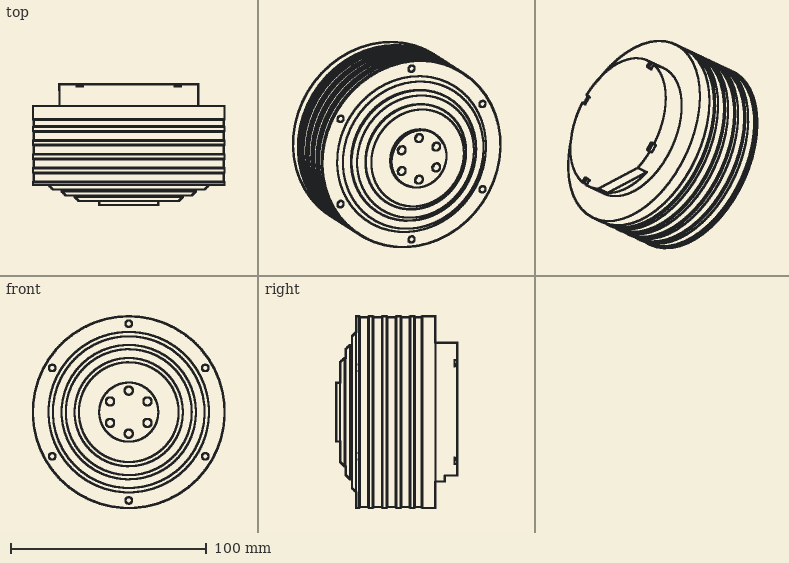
import cadquery as cq
import math


HUB_PROUD = 2.0
INNER_STEP = 2.8
MIDDLE_STEP = 3.1
OUTER_STEP = 2.3
BARREL_LENGTH = 40.4
REAR_LENGTH = 11.2

INNER_STEP_FRONT = HUB_PROUD
MIDDLE_STEP_FRONT = INNER_STEP_FRONT + INNER_STEP
OUTER_STEP_FRONT = MIDDLE_STEP_FRONT + MIDDLE_STEP
BARREL_FRONT = OUTER_STEP_FRONT + OUTER_STEP
BARREL_BACK = BARREL_FRONT + BARREL_LENGTH
REAR_FACE = BARREL_BACK + REAR_LENGTH

BARREL_RADIUS = 49.0
REAR_RADIUS = 35.5
HUB_RADIUS = 15.1
INNER_STEP_RADIUS = 27.6
STEP_WIDTH = 6.7
STEP_CHAMFER = 2.2

GROOVE_DEPTH = 0.5
GROOVE_WIDTH = 5.1
FRONT_RIM = 1.4
RIB_WIDTH = 2.0
FULL_GROOVES = 4
LAST_GROOVE_WIDTH = 4.1

FLAT_LENGTH = 6.4
FLAT_DISTANCE = 32.3
NOTCH_COUNT = 4
NOTCH_WIDTH = 4.3
NOTCH_LENGTH = 2.9
NOTCH_DEPTH = 1.4

HOLES_PER_RING = 6
DRILL_TIP_ANGLE = 118
BARREL_HOLE_DIAMETER = 3.3
BARREL_HOLE_RING_RADIUS = 45.1
BARREL_HOLE_DEPTH = 7.8
HUB_HOLE_DIAMETER = 4.2
HUB_HOLE_RING_RADIUS = 11.0
HUB_HOLE_DEPTH = 7.8
HUB_LENGTH = 11.8


def disc(radius, front, back):
    """Cylinder on the axis between two Y positions."""
    return cq.Workplane("XZ", origin=(0, front, 0)).circle(radius).extrude(front - back)


def cover_step(radius, front, back):
    """One round step of the cover, with its front edge chamfered."""
    return disc(radius, front, back).faces("<Y").chamfer(STEP_CHAMFER)


def outer_cover_step(radius):
    """The largest step is all 45 degree chamfer, so it is a cone frustum."""
    profile = [
        (OUTER_STEP_FRONT, 0),
        (OUTER_STEP_FRONT, radius - OUTER_STEP),
        (BARREL_FRONT, radius),
        (BARREL_FRONT, 0),
    ]
    return cq.Workplane("YZ").polyline(profile).close().revolve(360, (0, 0), (1, 0))


def groove_outline(start, width):
    """Corners of one groove from front to back, as (Y, radius)."""
    floor_radius = BARREL_RADIUS - GROOVE_DEPTH
    return [
        (start, BARREL_RADIUS),
        (start + GROOVE_DEPTH, floor_radius),
        (start + width - GROOVE_DEPTH, floor_radius),
        (start + width, BARREL_RADIUS),
    ]


def barrel():
    """Grooved barrel, revolved about the axis."""
    profile = [(BARREL_FRONT, 0), (BARREL_FRONT, BARREL_RADIUS)]
    groove_start = BARREL_FRONT + FRONT_RIM
    for _ in range(FULL_GROOVES):
        profile += groove_outline(groove_start, GROOVE_WIDTH)
        groove_start += GROOVE_WIDTH + RIB_WIDTH
    profile += groove_outline(groove_start, LAST_GROOVE_WIDTH)
    profile += [(BARREL_BACK, BARREL_RADIUS), (BARREL_BACK, 0)]
    return cq.Workplane("YZ").polyline(profile).close().revolve(360, (0, 0), (1, 0))


def rear_boss():
    """Rear boss with a flat underneath and notches on its diagonals."""
    boss = disc(REAR_RADIUS, BARREL_BACK, REAR_FACE)
    below_flat = cq.Workplane("XY").box(
        2 * REAR_RADIUS, FLAT_LENGTH, REAR_RADIUS, centered=(True, False, False)
    ).translate((0, REAR_FACE - FLAT_LENGTH, -FLAT_DISTANCE - REAR_RADIUS))
    boss = boss.cut(below_flat)
    notch = cq.Workplane("XY").box(
        2 * NOTCH_LENGTH, NOTCH_DEPTH, NOTCH_WIDTH, centered=(False, False, True)
    ).translate((REAR_RADIUS - NOTCH_LENGTH, REAR_FACE - NOTCH_DEPTH, 0))
    pitch = 360 / NOTCH_COUNT
    for index in range(NOTCH_COUNT):
        boss = boss.cut(notch.rotate((0, 0, 0), (0, 1, 0), (index + 0.5) * pitch))
    return boss


def drilled_hole(diameter, depth, ring_radius, face):
    """Cutter for a blind hole with a drill-point bottom, straight above the axis."""
    radius = diameter / 2
    tip = radius / math.tan(math.radians(DRILL_TIP_ANGLE / 2))
    profile = [(0, 0), (0, radius), (depth, radius), (depth + tip, 0)]
    cutter = cq.Workplane("YZ").polyline(profile).close().revolve(360, (0, 0), (1, 0))
    return cutter.translate((0, face, ring_radius))


def cut_hole_ring(body, hole):
    """Cut evenly spaced copies of a hole around the axis."""
    for index in range(HOLES_PER_RING):
        body = body.cut(hole.rotate((0, 0, 0), (0, 1, 0), index * 360 / HOLES_PER_RING))
    return body


def make_output_hub():
    hub = disc(HUB_RADIUS, 0, HUB_LENGTH)
    hole = drilled_hole(HUB_HOLE_DIAMETER, HUB_HOLE_DEPTH, HUB_HOLE_RING_RADIUS, 0)
    return cut_hole_ring(hub, hole)


def make_housing():
    middle_radius = INNER_STEP_RADIUS + STEP_WIDTH
    outer_radius = middle_radius + STEP_WIDTH
    housing = (
        barrel()
        .union(outer_cover_step(outer_radius))
        .union(cover_step(middle_radius, MIDDLE_STEP_FRONT, OUTER_STEP_FRONT))
        .union(cover_step(INNER_STEP_RADIUS, INNER_STEP_FRONT, MIDDLE_STEP_FRONT))
        .union(rear_boss())
    )
    hole = drilled_hole(BARREL_HOLE_DIAMETER, BARREL_HOLE_DEPTH, BARREL_HOLE_RING_RADIUS, BARREL_FRONT)
    housing = cut_hole_ring(housing, hole)
    hub_recess = disc(HUB_RADIUS, INNER_STEP_FRONT, HUB_LENGTH)
    return housing.cut(hub_recess)


housing = make_housing()
output_hub = make_output_hub()

result = cq.Compound.makeCompound([housing.solids().val(), output_hub.solids().val()])